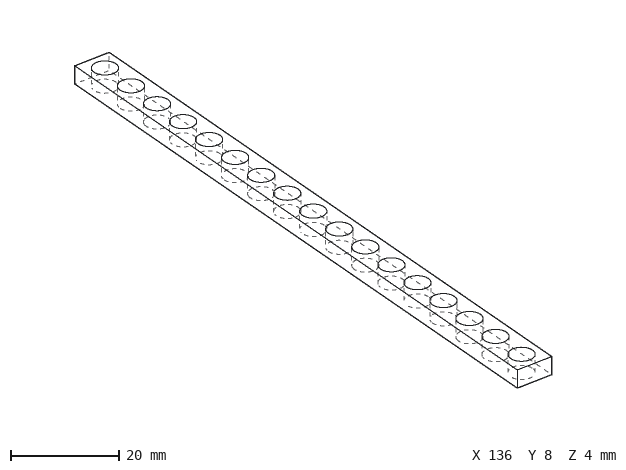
import cadquery as cq

length = 136.0
thickness = 4.0
hole_count = 17
hole_diameter = 5.0

hole_pitch = length / hole_count
width = hole_pitch

beam = cq.Workplane("XY").box(length, width, thickness)

result = (
    beam.faces(">Z")
    .workplane()
    .rarray(hole_pitch, width, hole_count, 1)
    .hole(hole_diameter)
)